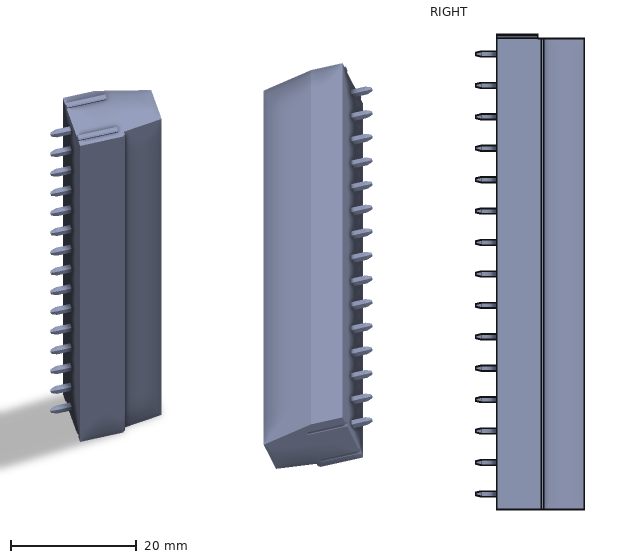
import cadquery as cq

overall_length = 75.6
pin_count = 15
rib_height = 0.6
body_length = overall_length - rib_height
pitch = body_length / pin_count
body_width = 10.2
body_depth = 14.0

left_slope_start = 5.3
back_left = 2.3
back_right = 8.4
ledge_x = 9.3
ledge_y = 7.5
ledge_chamfer = 0.4

dovetail_centers = (2.0, 8.85)
dovetail_wide = 1.05
dovetail_narrow = 0.6
dovetail_crest = 0.7
dovetail_bevel_height = 0.15
dovetail_reach = 6.6

pin_x = 4.75
pin_width = 0.9
pin_length = 3.3
pin_tip_length = 0.9
pin_tip_width = 0.45


def make_body():
    """Extrude the cross-section upward, with the pin face on Y = 0."""
    return (
        cq.Workplane("XY")
        .moveTo(0, 0)
        .lineTo(body_width, 0)
        .lineTo(body_width, ledge_y - ledge_chamfer)
        .lineTo(body_width - ledge_chamfer, ledge_y)
        .lineTo(ledge_x, ledge_y)
        .lineTo(back_right, body_depth)
        .lineTo(back_left, body_depth)
        .lineTo(0, left_slope_start)
        .close()
        .extrude(body_length)
    )


def make_dovetail(center_x, base_z):
    """Bar running back from the pin face, flaring upward from base_z, with bevelled top corners."""
    top_z = base_z + rib_height
    widest_z = top_z - dovetail_bevel_height
    return (
        cq.Workplane("XZ")
        .polyline([
            (center_x - dovetail_narrow / 2, base_z),
            (center_x + dovetail_narrow / 2, base_z),
            (center_x + dovetail_wide / 2, widest_z),
            (center_x + dovetail_crest / 2, top_z),
            (center_x - dovetail_crest / 2, top_z),
            (center_x - dovetail_wide / 2, widest_z),
        ])
        .close()
        .extrude(-dovetail_reach)
    )


def make_pin(center_z):
    """Square pin standing out of the pin face, with a tapered tip."""
    shank_length = pin_length - pin_tip_length
    shank = (
        cq.Workplane("XZ", origin=(pin_x, 0, center_z))
        .rect(pin_width, pin_width)
        .extrude(shank_length)
    )
    tip = (
        cq.Workplane("XZ", origin=(pin_x, -shank_length, center_z))
        .rect(pin_width, pin_width)
        .workplane(offset=pin_tip_length)
        .rect(pin_tip_width, pin_tip_width)
        .loft(ruled=True)
    )
    return shank.union(tip)


result = make_body()

for center_x in dovetail_centers:
    result = result.cut(make_dovetail(center_x, 0))
    result = result.union(make_dovetail(center_x, body_length))

for index in range(pin_count):
    result = result.union(make_pin((index + 0.5) * pitch))